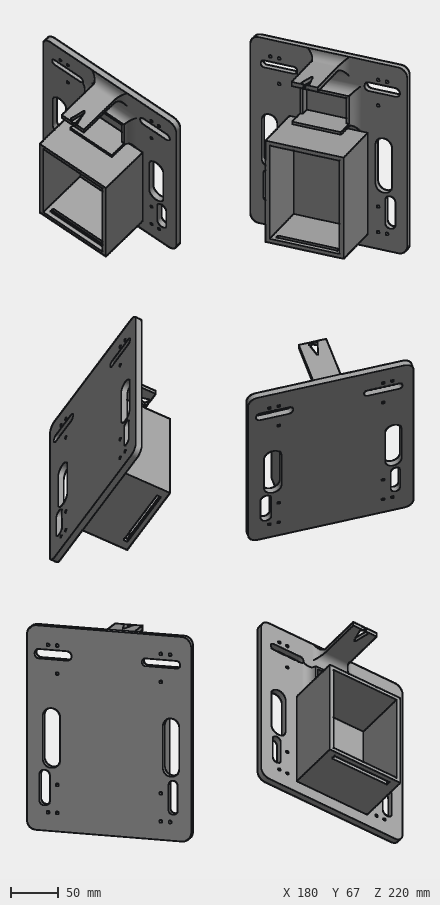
import cadquery as cq


PLATE_WIDTH = 180.0
PLATE_HEIGHT = 220.0
PLATE_THICKNESS = 7.0
PLATE_CORNER_RADIUS = 10.1

BOX_WIDTH = 89.8
BOX_HEIGHT = 120.0
BOX_BOTTOM = 15.0
BOX_DEPTH = 60.0
BOX_WALL = 4.8
BOX_TOP = BOX_BOTTOM + BOX_HEIGHT
BOX_INNER_WIDTH = BOX_WIDTH - 2 * BOX_WALL

STRAP_SLOT_WIDTH = 4.6
STRAP_SLOT_FRONT_GAP = 5.5
STRAP_SLOT_SIDE_GAP = 5.0

FLARE_RADIUS = 10.1

HOLDER_WIDTH = 56.0
HOLDER_BOTTOM = 143.5
HOLDER_TOP = 179.3
HOLDER_WALL = 3.0
SHELF_REACH = 20.0

TAB_WIDTH = 30.0
TAB_THICKNESS = 5.0
TAB_MID_HEIGHT = 208.5
TAB_BOTTOM = TAB_MID_HEIGHT - TAB_THICKNESS / 2
TAB_TOP = TAB_MID_HEIGHT + TAB_THICKNESS / 2
NOTCH_MOUTH_WIDTH = 2.0
NOTCH_MAX_WIDTH = 9.7
NOTCH_MAX_SETBACK = 2.2
NOTCH_TIP_RADIUS = 0.9
NOTCH_LENGTH = 19.0

HOLE_DIAMETER = 3.0
HOLE_INNER_X = 56.8
HOLE_OUTER_X = 66.9
HOLE_END_MARGIN = 20.0
HOLE_INNER_MARGIN = 50.2

PLATE_SLOTS = [
    (-57.0, 189.6, 41.8, 8.1),
    (61.4, 189.6, 40.5, 10.1),
    (-68.0, 100.0, 17.8, 62.5),
    (63.1, 100.0, 19.0, 64.2),
    (-70.2, 46.5, 10.0, 36.3),
    (70.6, 46.2, 11.7, 38.3),
]


def block(width, y_range, z_range):
    """Box centred on X = 0 spanning the given Y and Z ranges."""
    y_min, y_max = y_range
    z_min, z_max = z_range
    corner = (-width / 2, y_min, z_min)
    return cq.Workplane("XY").box(width, y_max - y_min, z_max - z_min, centered=False).translate(corner)


def flare_profile(plane, low, high):
    """Section that widens by a quarter circle on both sides, from low..high out to the plate."""
    mid_arc_offset = FLARE_RADIUS * (1 - 0.5 ** 0.5)
    return (
        cq.Workplane(plane)
        .moveTo(low, -FLARE_RADIUS)
        .lineTo(high, -FLARE_RADIUS)
        .threePointArc((high + mid_arc_offset, -mid_arc_offset), (high + FLARE_RADIUS, 0))
        .lineTo(low - FLARE_RADIUS, 0)
        .threePointArc((low - mid_arc_offset, -mid_arc_offset), (low, -FLARE_RADIUS))
        .close()
    )


def make_flare(width, bottom, top):
    """Rectangular pedestal with mitred concave sides, clipped at the plate's top edge."""
    across = flare_profile("XY", -width / 2, width / 2).extrude(PLATE_HEIGHT)
    side_plane = cq.Plane(origin=(0, 0, 0), xDir=(0, 0, 1), normal=(-1, 0, 0))
    upright = flare_profile(side_plane, bottom, top).extrude(PLATE_WIDTH / 2, both=True)
    return across.intersect(upright)


def make_plate():
    plate = block(PLATE_WIDTH, (0, PLATE_THICKNESS), (0, PLATE_HEIGHT))
    return plate.edges("|Y").fillet(PLATE_CORNER_RADIUS)


def make_box():
    """Outer block of the box, the cavity inside it and the strap slot in its floor."""
    shell = block(BOX_WIDTH, (-BOX_DEPTH, 0), (BOX_BOTTOM, BOX_TOP))
    cavity = block(BOX_INNER_WIDTH, (-BOX_DEPTH, 0), (BOX_BOTTOM + BOX_WALL, BOX_TOP - BOX_WALL))
    slot_front = -BOX_DEPTH + STRAP_SLOT_FRONT_GAP
    strap_slot = block(
        BOX_INNER_WIDTH - 2 * STRAP_SLOT_SIDE_GAP,
        (slot_front, slot_front + STRAP_SLOT_WIDTH),
        (BOX_BOTTOM, BOX_BOTTOM + BOX_WALL),
    )
    return shell, cavity, strap_slot


def make_holder():
    pedestal = make_flare(HOLDER_WIDTH, HOLDER_BOTTOM, HOLDER_TOP)
    shelf_top = HOLDER_BOTTOM + HOLDER_WALL
    recess = block(
        HOLDER_WIDTH - 2 * HOLDER_WALL,
        (-FLARE_RADIUS, 0),
        (shelf_top, HOLDER_TOP - HOLDER_WALL),
    )
    shelf = block(
        HOLDER_WIDTH,
        (-FLARE_RADIUS - SHELF_REACH, -FLARE_RADIUS),
        (HOLDER_BOTTOM, shelf_top),
    )
    return pedestal.cut(recess).union(shelf)


def make_tab():
    pedestal = make_flare(TAB_WIDTH, TAB_BOTTOM, TAB_TOP)
    tab = block(TAB_WIDTH, (-BOX_DEPTH, -FLARE_RADIUS), (TAB_BOTTOM, TAB_TOP))
    widest_y = -BOX_DEPTH + NOTCH_MAX_SETBACK
    tip_y = -BOX_DEPTH + NOTCH_LENGTH
    tip_start_y = tip_y - NOTCH_TIP_RADIUS
    notch = (
        cq.Workplane("XY", origin=(0, 0, TAB_BOTTOM))
        .moveTo(-NOTCH_MOUTH_WIDTH / 2, -BOX_DEPTH)
        .lineTo(-NOTCH_MAX_WIDTH / 2, widest_y)
        .lineTo(-NOTCH_TIP_RADIUS, tip_start_y)
        .threePointArc((0, tip_y), (NOTCH_TIP_RADIUS, tip_start_y))
        .lineTo(NOTCH_MAX_WIDTH / 2, widest_y)
        .lineTo(NOTCH_MOUTH_WIDTH / 2, -BOX_DEPTH)
        .close()
        .extrude(TAB_THICKNESS)
    )
    return pedestal.union(tab.cut(notch))


def through_cutter(sketch):
    """Extrude a sketch in the plate's front plane through the plate and the flares."""
    return sketch.extrude(PLATE_THICKNESS + FLARE_RADIUS, both=True)


def make_slot(x, z, size_x, size_z):
    length = max(size_x, size_z)
    width = min(size_x, size_z)
    angle = 0 if size_x > size_z else 90
    return through_cutter(cq.Workplane("XZ").center(x, z).slot2D(length, width, angle))


def make_screw_holes():
    places = [
        (HOLE_OUTER_X, HOLE_END_MARGIN),
        (HOLE_INNER_X, HOLE_END_MARGIN),
        (HOLE_INNER_X, HOLE_INNER_MARGIN),
    ]
    points = []
    for x, margin in places:
        for side in (-1, 1):
            points.append((side * x, margin))
            points.append((side * x, PLATE_HEIGHT - margin))
    return through_cutter(cq.Workplane("XZ").pushPoints(points).circle(HOLE_DIAMETER / 2))


box_shell, box_cavity, strap_slot = make_box()

result = make_plate().union(make_holder()).union(box_shell)
result = result.cut(box_cavity).cut(strap_slot)
result = result.union(make_tab())
for slot in PLATE_SLOTS:
    result = result.cut(make_slot(*slot))
result = result.cut(make_screw_holes())